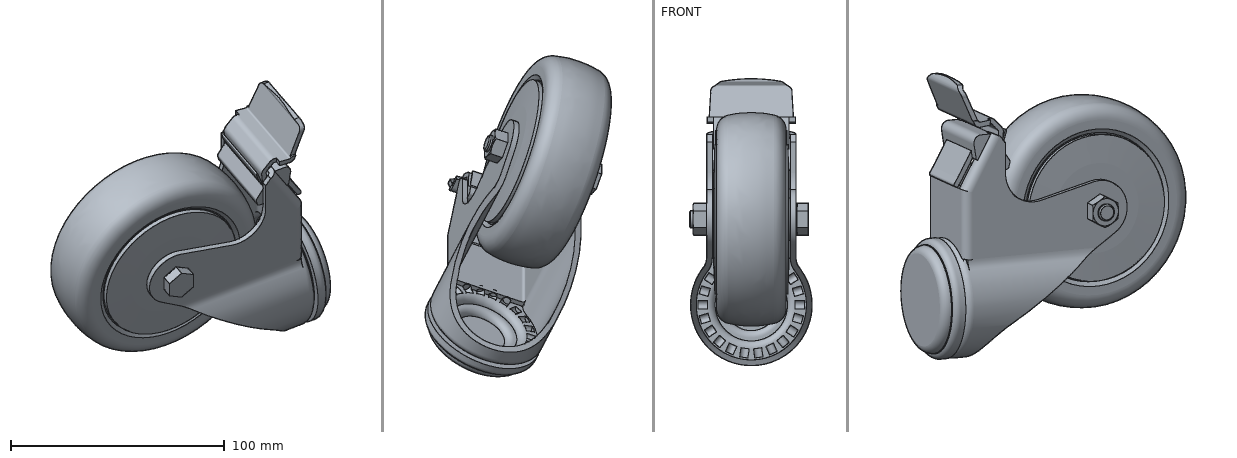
import cadquery as cq
import math


wheel_radius = 50.0
tyre_shoulder_radius = 48.8
tyre_crown_half_width = 10.8
tyre_half_width = 16.3
tyre_shoulder_mid = (14.8, 46.3)
tyre_side_radius = 42.0
tyre_bead_radius = 37.6
rim_groove_radius = 35.6
rim_radius = 70.0 / 2
rim_half_width = 17.1
rim_groove_half_width = 14.8
hub_plate_radius = 21.5
hub_half_width = 17.6
spacer_radius = 20.0 / 2

thread_radius = 4.0
thread_end_x = -29.0
thread_chamfer = 0.7
hex_across_flats = 13.0
nut_thickness = 6.5
nut_bevel_depth = 0.5
nut_bevel_width = 1.1
washer_radius = 12.0 / 2
washer_thickness = 0.5
bolt_head_end_x = 26.8

sheet = 2.7
leg_half_width = 21.0
bucket_radius = 28.5
swivel_z = -40.0
leg_bend_z = -18.2
leg_bend_radius = 4.0
arm_end_radius = 14.0
back_y = 69.6
back_top_z = 15.0
leg_peak = (55.0, 41.1)
leg_top_front = (51.4, 39.7)
leg_front_y = 48.7
leg_front_top_z = 36.3
window_radius = 14.8
window_center_z = 21.5
lower_edge_end = (48.3, -49.3)
bucket_mouth_y = 63.0
pedal_slot_half_width = 14.8

base_face_y = 71.9
base_fillet = 3.5
bucket_end_y = 68.0
neck_radius = 25.1
ring_front_y = 72.6
ring_edge_y = 75.0
ring_top_y = 78.2
ring_top_radius = 25.8
ring_shoulder_mid = (27.7, 77.3)
cap_base_radius = 25.5
cap_fillet_start_y = 78.7
cap_shoulder_mid = (24.3, 81.6)
cap_top_radius = 21.9
cap_top_y = 82.8

floor_y = base_face_y - sheet
race_radius = 20.7
race_step_radius = 17.0
race_inner_radius = 15.5
race_floor_radius = 12.1
notch_count = 22
notch_inner_radius = 20.6
notch_outer_radius = 24.9
notch_radius = 1.95

pedal_thickness = 2.4
pedal_bend_radius = 2.2
pedal_path = [
    (69.0, 64.8),
    (70.2, 62.5),
    (62.9, 45.8),
    (54.3, 46.9),
    (49.5, 42.0),
    (50.3, 33.6),
]
pedal_ear = (20.7, 48.0)
pedal_base_half_width = 19.8
pedal_neck_half_width = 17.7
pedal_neck_start_y = 56.3
pedal_top_half_width = 17.3
pedal_shoulder = (19.1, 59.2)
pedal_shoulder_mid = (18.7, 61.3)
pedal_shoulder_z = 62.4
pedal_lip = (14.4, 64.5)
pedal_top_z = 65.9
pedal_bottom_z = 32.3
cam_outline = [
    (64.4, 40.6),
    (54.5, 40.6),
    (45.0, 26.8),
    (46.0, 23.0),
    (49.1, 22.9),
    (62.5, 28.9),
]
cam_fillet = 1.3
cam_heel_fillet = 3.8
leaf_path = [
    (51.1, 30.9),
    (48.0, 36.6),
    (46.5, 41.1),
]
leaf_thickness = 0.8
leaf_half_width = 16.7
rear_plate_path = [
    (61.6, 32.7),
    (69.1, 19.4),
    (70.7, 16.8),
]
rear_plate_bend_radius = 0.7
rear_plate_half_width = 13.8

reach = 80.7


def around_swivel(profile):
    """Turn a closed (radius, y) profile about the swivel axis."""
    turned = profile.revolve(360, (0, 0), (0, 1))
    return turned.translate((0, 0, swivel_z))


def across(profile, half_width):
    """Extrude a YZ profile symmetrically along X."""
    return profile.extrude(half_width, both=True)


def make_wheel():
    hub_end = leg_half_width - sheet
    side = [
        (tyre_half_width, tyre_bead_radius),
        (rim_groove_half_width, rim_groove_radius),
        (rim_groove_half_width, rim_radius),
        (rim_half_width, rim_radius),
        (hub_half_width, hub_plate_radius),
        (hub_half_width, spacer_radius),
        (hub_end, spacer_radius),
        (hub_end, 0),
    ]
    shoulder_x, shoulder_radius = tyre_shoulder_mid
    return (
        cq.Workplane("XY")
        .moveTo(-tyre_crown_half_width, tyre_shoulder_radius)
        .threePointArc((0, wheel_radius), (tyre_crown_half_width, tyre_shoulder_radius))
        .threePointArc((shoulder_x, shoulder_radius), (tyre_half_width, tyre_side_radius))
        .polyline(side, includeCurrent=True)
        .polyline([(-x, radius) for x, radius in reversed(side)], includeCurrent=True)
        .lineTo(-tyre_half_width, tyre_side_radius)
        .threePointArc((-shoulder_x, shoulder_radius), (-tyre_crown_half_width, tyre_shoulder_radius))
        .close()
        .revolve(360, (0, 0), (1, 0))
    )


def hexagon(start_x, end_x):
    """Hexagonal prism along X with two corners on the Z direction."""
    corner_diameter = hex_across_flats / math.cos(math.pi / 6)
    return (
        cq.Workplane("YZ", origin=(start_x, 0, 0))
        .transformed(rotate=(0, 0, 90))
        .polygon(6, corner_diameter)
        .extrude(end_x - start_x)
    )


def rod(radius, start_x, end_x):
    return cq.Workplane("YZ", origin=(start_x, 0, 0)).circle(radius).extrude(end_x - start_x)


def make_axle():
    nut_inner_x = -leg_half_width
    head_inner_x = leg_half_width + washer_thickness
    thread = rod(thread_radius, thread_end_x, head_inner_x).faces("<X").chamfer(thread_chamfer)
    nut_x = nut_inner_x - nut_thickness
    nut = hexagon(nut_x, nut_inner_x)
    bevel = rod(hex_across_flats / 2 + nut_bevel_width, nut_x, nut_inner_x)
    bevel = bevel.faces("<X").edges().chamfer(nut_bevel_depth, nut_bevel_width)
    washer = rod(washer_radius, leg_half_width, head_inner_x)
    head = hexagon(head_inner_x, bolt_head_end_x)
    return thread.union(nut.intersect(bevel)).union(washer).union(head)


def bucket_prism(inset, end_y):
    """Round bucket that flows through concave bends into the straight legs."""
    leg_x = leg_half_width - inset
    radius = bucket_radius - inset
    rise = leg_bend_z - swivel_z
    bend = (rise**2 + leg_half_width**2 - bucket_radius**2) / (2 * (bucket_radius - leg_half_width))
    center_x = leg_half_width + bend
    bend_radius = bend + inset
    slope = math.atan2(rise, center_x)
    join = (radius * math.cos(slope), swivel_z + radius * math.sin(slope))
    mid_angle = math.pi + slope / 2
    middle = (
        center_x + bend_radius * math.cos(mid_angle),
        leg_bend_z + bend_radius * math.sin(mid_angle),
    )
    return (
        cq.Workplane("XZ", origin=(0, -arm_end_radius, 0))
        .moveTo(-leg_x, leg_bend_z)
        .lineTo(leg_x, leg_bend_z)
        .threePointArc(middle, join)
        .threePointArc((0, swivel_z - radius), (-join[0], join[1]))
        .threePointArc((-middle[0], middle[1]), (-leg_x, leg_bend_z))
        .close()
        .extrude(-(end_y + arm_end_radius))
    )


def leg_block(inset):
    """Legs and back wall as a block, with its rear edges bent round."""
    slant = math.atan2(leg_peak[1] - back_top_z, back_y - leg_peak[0])
    rear_y = back_y - inset
    knee_z = back_top_z - inset * math.tan((math.pi / 2 - slant) / 2)
    peak_y = leg_peak[0] - inset / math.sin(slant)
    block = across(
        cq.Workplane("YZ").polyline([
            (-arm_end_radius, leg_bend_z - inset),
            (rear_y, leg_bend_z - inset),
            (rear_y, knee_z),
            (peak_y, leg_peak[1]),
            (-arm_end_radius, leg_peak[1]),
        ]).close(),
        leg_half_width - inset,
    )
    wall_middle_z = (leg_bend_z + knee_z) / 2
    slant_middle = ((rear_y + peak_y) / 2, (knee_z + leg_peak[1]) / 2)
    for side in (-1, 1):
        x = side * (leg_half_width - inset)
        wall_edge = cq.selectors.NearestToPointSelector((x, rear_y, wall_middle_z))
        slant_edge = cq.selectors.NearestToPointSelector((x, *slant_middle))
        block = block.edges(cq.selectors.SumSelector(wall_edge, slant_edge)).fillet(leg_bend_radius - inset)
    return block


def fork_side():
    """Side outline of the fork: leg front, window arc, arm end and lower edge."""
    window_y = leg_front_y - window_radius
    span = math.hypot(window_y, window_center_z)
    upper = math.atan2(window_center_z, window_y) + math.acos((arm_end_radius + window_radius) / span)
    corner_y, corner_z = lower_edge_end
    lower = math.atan2(corner_z, corner_y) - math.acos(arm_end_radius / math.hypot(corner_y, corner_z))
    middle = (upper + lower + 2 * math.pi) / 2

    def on_arm_end(angle):
        return (arm_end_radius * math.cos(angle), arm_end_radius * math.sin(angle))

    window_end = (
        window_y - window_radius * math.cos(upper),
        window_center_z - window_radius * math.sin(upper),
    )
    return (
        cq.Workplane("YZ")
        .moveTo(reach, swivel_z - bucket_radius)
        .lineTo(reach, leg_peak[1])
        .lineTo(*leg_peak)
        .lineTo(*leg_top_front)
        .lineTo(leg_front_y, leg_front_top_z)
        .lineTo(leg_front_y, window_center_z)
        .threePointArc(
            (
                window_y + window_radius * math.cos((upper - math.pi) / 2),
                window_center_z + window_radius * math.sin((upper - math.pi) / 2),
            ),
            window_end,
        )
        .lineTo(*on_arm_end(upper))
        .threePointArc(on_arm_end(middle), on_arm_end(lower))
        .lineTo(*lower_edge_end)
        .tangentArcPoint((bucket_mouth_y, swivel_z - bucket_radius), relative=False)
        .close()
    )


def make_fork():
    body = bucket_prism(0, bucket_end_y).union(leg_block(0))
    body = body.intersect(across(fork_side(), reach))
    base = cq.Workplane("XZ", origin=(0, bucket_end_y, swivel_z)).circle(bucket_radius)
    base = base.extrude(bucket_end_y - base_face_y).faces(">Y").edges().fillet(base_fillet)
    pedal_slot = (
        cq.Workplane("XY", origin=(0, 0, back_top_z))
        .rect(2 * pedal_slot_half_width, 2 * reach)
        .extrude(reach)
    )
    cavity = bucket_prism(sheet, floor_y).union(leg_block(sheet))
    return body.union(base).cut(cavity).cut(pedal_slot)


def make_swivel_head():
    outline = (
        cq.Workplane("XY")
        .moveTo(0, floor_y)
        .lineTo(neck_radius, floor_y)
        .lineTo(neck_radius, ring_front_y)
        .lineTo(bucket_radius, ring_front_y)
        .lineTo(bucket_radius, ring_edge_y)
        .threePointArc(ring_shoulder_mid, (ring_top_radius, ring_top_y))
        .lineTo(cap_base_radius, cap_fillet_start_y)
        .threePointArc(cap_shoulder_mid, (cap_top_radius, cap_top_y))
        .lineTo(0, cap_top_y)
        .close()
    )
    return around_swivel(outline)


def make_raceway():
    """Two stepped seats, each entered over a quarter-round lip."""
    diagonal = math.cos(math.pi / 4)
    outer_lip = race_radius - race_step_radius
    inner_lip = race_inner_radius - race_floor_radius
    step_y = floor_y + outer_lip
    race_floor_y = step_y + inner_lip
    outline = (
        cq.Workplane("XY")
        .moveTo(0, floor_y)
        .lineTo(race_radius, floor_y)
        .threePointArc(
            (race_radius - outer_lip * diagonal, step_y - outer_lip * diagonal),
            (race_step_radius, step_y),
        )
        .lineTo(race_inner_radius, step_y)
        .threePointArc(
            (race_inner_radius - inner_lip * diagonal, race_floor_y - inner_lip * diagonal),
            (race_floor_radius, race_floor_y),
        )
        .lineTo(0, race_floor_y)
        .close()
    )
    return around_swivel(outline)


def make_notches():
    notch = (
        cq.Workplane("YZ", origin=(notch_inner_radius, floor_y, swivel_z))
        .circle(notch_radius)
        .extrude(notch_outer_radius - notch_inner_radius)
    )
    notches = cq.Workplane("XY")
    for index in range(notch_count):
        angle = index * 360 / notch_count
        notches = notches.add(notch.rotate((0, 0, swivel_z), (0, 1, swivel_z), angle))
    return notches.combine()


def strip(path, thickness, half_width, bend_radius=None):
    """Sheet of constant thickness following a path in YZ, with its bends rounded."""
    spine = cq.Workplane("YZ").polyline(path).wire().val()
    if bend_radius:
        spine = spine.fillet(bend_radius)
    profile = cq.Workplane("YZ").newObject([spine]).toPending().offset2D(thickness / 2)
    return across(profile, half_width)


def pedal_front():
    """Front outline of the pedal, with rounded shoulders and a curved top edge."""
    ear_x, ear_z = pedal_ear
    lip_x, lip_z = pedal_lip
    side_x, side_z = pedal_shoulder
    mid_x, mid_z = pedal_shoulder_mid
    return (
        cq.Workplane("XZ")
        .moveTo(-ear_x, pedal_bottom_z)
        .lineTo(ear_x, pedal_bottom_z)
        .lineTo(ear_x, ear_z)
        .lineTo(pedal_base_half_width, ear_z)
        .lineTo(side_x, side_z)
        .threePointArc((mid_x, mid_z), (pedal_top_half_width, pedal_shoulder_z))
        .lineTo(lip_x, lip_z)
        .threePointArc((0, pedal_top_z), (-lip_x, lip_z))
        .lineTo(-pedal_top_half_width, pedal_shoulder_z)
        .threePointArc((-mid_x, mid_z), (-side_x, side_z))
        .lineTo(-pedal_base_half_width, ear_z)
        .lineTo(-ear_x, ear_z)
        .close()
        .extrude(-reach)
    )


def make_pedal():
    pedal = strip(pedal_path, pedal_thickness, leg_half_width, pedal_bend_radius)
    pedal = pedal.intersect(pedal_front())
    flank_width = leg_half_width - pedal_neck_half_width
    for side in (-1, 1):
        flank = cq.Workplane("XY").box(flank_width, pedal_neck_start_y, reach, centered=(True, False, False))
        pedal = pedal.cut(flank.translate((side * (pedal_neck_half_width + flank_width / 2), 0, 0)))
    return pedal


def make_cam():
    cam = across(cq.Workplane("YZ").polyline(cam_outline).close(), leg_half_width - sheet)
    heel = cq.selectors.NearestToPointSelector((0, *cam_outline[0]))
    cam = cam.edges(heel).fillet(cam_heel_fillet)
    for toe in cam_outline[2:5]:
        cam = cam.edges(cq.selectors.NearestToPointSelector((0, *toe))).fillet(cam_fillet)
    return cam


def make_brake():
    leaf = strip(leaf_path, leaf_thickness, leaf_half_width)
    rear_plate = strip(rear_plate_path, pedal_thickness, rear_plate_half_width, rear_plate_bend_radius)
    return make_pedal().union(make_cam()).union(leaf).union(rear_plate)


housing = make_fork().union(make_swivel_head()).cut(make_raceway()).cut(make_notches())
result = housing.union(make_brake()).union(make_wheel()).union(make_axle())